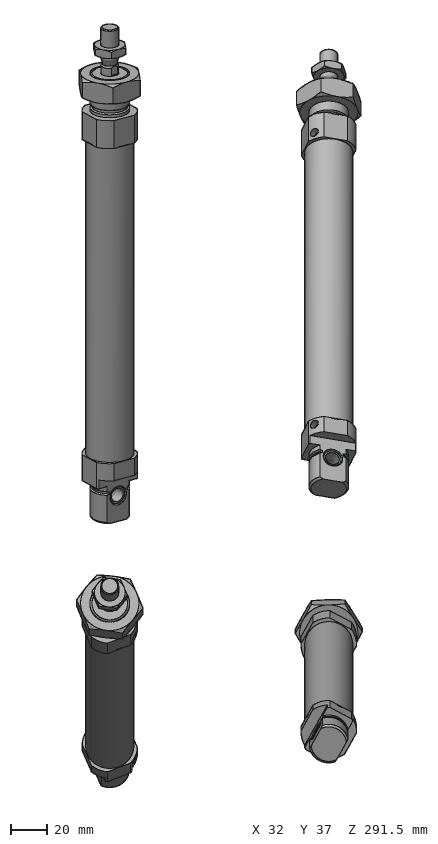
import cadquery as cq
import math

total_length = 291.5

barrel_diameter = 26.5
cap_width = 27.5
cap_corner_diameter = 30.5
rear_cap_bottom = 22.5
rear_cap_top = 38.0
front_cap_bottom = 225.3
front_cap_top = 242.0

neck_diameter = 22.0
groove_diameter = 19.8
groove_flank_height = 0.5
neck_chamfer = 1.2
front_neck_top = 264.0
front_groove_bottom = 243.7
front_groove_top = 246.3
rear_groove_bottom = 17.2
rear_groove_top = 19.5

eye_width = 16.0
eye_shoulder = 27.7
eye_hole_diameter = 8.0
eye_hole_height = 15.5
eye_counterbore_diameter = 10.0
eye_counterbore_depth = 1.0
eye_rim_chamfer = 0.5

port_diameter = 5.0
port_depth = 4.5
port_angle = 132.0
port_heights = (34.0, 229.7)

rod_diameter = 10.0
rod_bottom = front_cap_bottom
rod_shoulder = 270.0
rod_shoulder_diameter = 8.7
rod_shoulder_chamfer_height = 1.2
rod_undercut_diameter = 8.5
rod_undercut_top = 270.5
rod_thread_bottom = 273.0
rod_tip_chamfer = 0.5
rod_flat_width = 9.0
rod_flat_bottom = 264.7

nut_chamfer_angle = math.radians(30)
hex_sides = 6
half_side_angle = 180 / hex_sides
mounting_nut_width = 32.0
mounting_nut_height = 12.0
mounting_nut_top = front_neck_top
rod_nut_width = 17.0
rod_nut_height = 5.0
rod_nut_bottom = 276.0


def disc(diameter, bottom, top):
    """Cylinder on the Z axis between two heights."""
    return cq.Workplane("XY").workplane(offset=bottom).circle(diameter / 2).extrude(top - bottom)


def end_cap(bottom, top):
    """Square block whose corners are rounded by a concentric cylinder."""
    height = top - bottom
    block = cq.Workplane("XY").workplane(offset=bottom).rect(cap_width, cap_width).extrude(height)
    return block.intersect(disc(cap_corner_diameter, bottom, top))


def ring_groove(bottom, top):
    """Cutter for a groove with steep flanks and a cylindrical floor."""
    outer = neck_diameter / 2
    inner = groove_diameter / 2
    profile = [
        (outer, bottom), (inner, bottom + groove_flank_height),
        (inner, top - groove_flank_height), (outer, top),
    ]
    return cq.Workplane("XZ").polyline(profile).close().revolve(360, (0, 0), (0, 1))


def port(height):
    """Cutter for a blind radial hole into the rounded cap corner."""
    radius = cap_corner_diameter / 2
    angle = math.radians(port_angle)
    outward = cq.Vector(math.cos(angle), math.sin(angle), 0)
    start = outward * radius + cq.Vector(0, 0, height)
    return cq.Workplane(cq.Solid.makeCylinder(port_diameter / 2, port_depth, start, outward * -1))


def eye_hole():
    """Cross hole along X with a chamfered counterbore at both faces of the eye."""
    radius = eye_hole_diameter / 2
    counterbore = eye_counterbore_diameter / 2
    rim = counterbore + eye_rim_chamfer
    face = eye_width / 2
    step = face - eye_counterbore_depth
    chamfer_end = face - eye_rim_chamfer
    half_profile = [
        (0, radius), (step, radius), (step, counterbore),
        (chamfer_end, counterbore), (face, rim), (face, 0), (0, 0),
    ]
    half = cq.Workplane("XZ").polyline(half_profile).close().revolve(360, (0, 0), (1, 0))
    return half.union(half.mirror("YZ")).translate((0, 0, eye_hole_height))


def eye_side_cuts():
    """Blocks that trim the rear end to the width of the eye."""
    thickness = cap_corner_diameter
    block = cq.Workplane("XY").box(thickness, thickness, eye_shoulder, centered=(True, True, False))
    shift = (eye_width + thickness) / 2
    return block.translate((shift, 0, 0)).union(block.translate((-shift, 0, 0)))


def make_housing():
    """Barrel, caps and necks in one piece, with the rod bore, ports and clevis eye cut in."""
    front_neck = disc(neck_diameter, front_cap_top, front_neck_top).faces(">Z").chamfer(neck_chamfer)
    rear_neck = disc(neck_diameter, 0, rear_cap_bottom).faces("<Z").chamfer(neck_chamfer)
    body = disc(barrel_diameter, rear_cap_top, front_cap_bottom)
    body = body.union(end_cap(rear_cap_bottom, rear_cap_top))
    body = body.union(end_cap(front_cap_bottom, front_cap_top))
    body = body.union(front_neck).union(rear_neck)
    body = body.cut(ring_groove(front_groove_bottom, front_groove_top))
    body = body.cut(ring_groove(rear_groove_bottom, rear_groove_top))
    body = body.cut(eye_side_cuts()).cut(eye_hole())
    for height in port_heights:
        body = body.cut(port(height))
    return body.cut(disc(rod_diameter, rod_bottom, front_neck_top))


def make_rod():
    """Rod with wrench flats, a shoulder, a thread undercut and a plain thread cylinder."""
    radius = rod_diameter / 2
    undercut = rod_undercut_diameter / 2
    chamfer_bottom = rod_shoulder - rod_shoulder_chamfer_height
    profile = [
        (0, rod_bottom), (radius, rod_bottom), (radius, chamfer_bottom),
        (rod_shoulder_diameter / 2, rod_shoulder), (undercut, rod_shoulder),
        (undercut, rod_undercut_top), (radius, rod_thread_bottom),
        (radius, total_length - rod_tip_chamfer), (radius - rod_tip_chamfer, total_length),
        (0, total_length),
    ]
    rod = cq.Workplane("XZ").polyline(profile).close().revolve(360, (0, 0), (0, 1))
    flat_height = rod_shoulder - rod_flat_bottom
    flat_shift = (rod_flat_width + rod_diameter) / 2
    for side in (-1, 1):
        flat = cq.Workplane("XY").box(rod_diameter, rod_diameter, flat_height, centered=(True, True, False))
        rod = rod.cut(flat.translate((side * flat_shift, 0, rod_flat_bottom)))
    return rod


def hex_nut(width, height, bottom, bore):
    """Hexagonal nut with its flats facing X and the corners chamfered at 30 degrees."""
    corner_diameter = width / math.cos(math.pi / hex_sides)
    corner = corner_diameter / 2
    seat = width / 2
    drop = (corner - seat) * math.tan(nut_chamfer_angle)
    nut = cq.Workplane("XY").polygon(hex_sides, corner_diameter).extrude(height)
    nut = nut.rotate((0, 0, 0), (0, 0, 1), half_side_angle)
    profile = [
        (0, 0), (seat, 0), (corner, drop),
        (corner, height - drop), (seat, height), (0, height),
    ]
    envelope = cq.Workplane("XZ").polyline(profile).close().revolve(360, (0, 0), (0, 1))
    nut = nut.intersect(envelope).translate((0, 0, bottom))
    return nut.cut(disc(bore, bottom, bottom + height))


housing = make_housing()
piston_rod = make_rod()
mounting_nut = hex_nut(
    mounting_nut_width, mounting_nut_height, mounting_nut_top - mounting_nut_height, neck_diameter
)
rod_nut = hex_nut(rod_nut_width, rod_nut_height, rod_nut_bottom, rod_diameter)

result = cq.Compound.makeCompound([housing.val(), piston_rod.val(), mounting_nut.val(), rod_nut.val()])